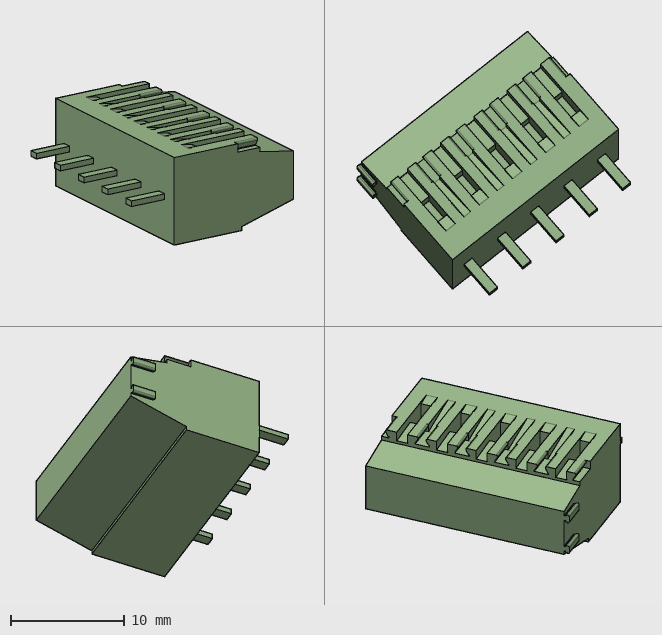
import cadquery as cq
import math

TOTAL_WIDTH = 19.55
TOTAL_DEPTH = 16.1
HEIGHT = 8.2
POLES = 5
PITCH = 3.81

RAIL_PROJECTION = 0.5
PIN_LENGTH = 3.5
ROOF_LENGTH = 3.55
ROOF_DROP_FRONT = 1.17
ROOF_DROP_REAR = 1.8
BELLY_LENGTH = 5.45
BELLY_RISE_FRONT = 0.37
BELLY_RISE_REAR = 1.9

LEFT = -TOTAL_WIDTH / 2 + RAIL_PROJECTION
RIGHT = TOTAL_WIDTH / 2
BODY_WIDTH = RIGHT - LEFT
REAR = TOTAL_DEPTH / 2
FRONT = -REAR + PIN_LENGTH
TOP = HEIGHT / 2
BOTTOM = -TOP
ROOF_FRONT = REAR - ROOF_LENGTH

FIRST_COLUMN = LEFT + 1.8
COLUMNS = [FIRST_COLUMN + i * PITCH for i in range(POLES)]
PIN_WIDTH = 0.92
PIN_THICKNESS = 0.53

SLOT_FRONT = REAR - 10.19
SLOT_WIDTH = 1.05
WELL_FRONT = REAR - 9.01
WELL_REAR = REAR - 6.57
WELL_DEPTH = 1.95
LEAD_IN_DEPTH = 0.22
SHELF_DEPTH_FRONT = 0.72
SHELF_DEPTH_REAR = 0.9

GROOVE_FRONT = REAR - 5.88
GROOVE_DEPTH = 0.78
GROOVE_MOUTH_HALF = 0.53
GROOVE_UNDERCUT_DEPTH = 0.7
RAMP_WIDTH = 0.75

RAIL_LENGTH = 2.19
RAIL_HEIGHT = 1.6
RAIL_FACE_HALF = 0.25
RAIL_NECK_OUT = 0.1

EDGE_RADIUS = 0.147
UNDERCUT_ANGLE = math.radians(30)
ARC_RUN = EDGE_RADIUS * (1 + math.sin(UNDERCUT_ANGLE))
ARC_RISE = EDGE_RADIUS * math.cos(UNDERCUT_ANGLE)


def side_extrusion(points, x_start, width):
    """Extrude a (y, z) outline along +X from x_start."""
    return cq.Workplane("YZ", origin=(x_start, 0, 0)).polyline(points).close().extrude(width)


def make_body():
    outline = [
        (FRONT, BOTTOM),
        (REAR - BELLY_LENGTH, BOTTOM),
        (REAR - BELLY_LENGTH, BOTTOM + BELLY_RISE_FRONT),
        (REAR, BOTTOM + BELLY_RISE_REAR),
        (REAR, TOP - ROOF_DROP_REAR),
        (ROOF_FRONT, TOP - ROOF_DROP_FRONT),
        (ROOF_FRONT, TOP),
        (FRONT, TOP),
    ]
    return side_extrusion(outline, LEFT, BODY_WIDTH)


def make_slot(x):
    """Wide slot: lead-in at the front, deep well, sloping shelf open to the rear."""
    outline = [
        (SLOT_FRONT, TOP),
        (WELL_FRONT, TOP - LEAD_IN_DEPTH),
        (WELL_FRONT, TOP - WELL_DEPTH),
        (WELL_REAR, TOP - WELL_DEPTH),
        (WELL_REAR, TOP - SHELF_DEPTH_FRONT),
        (ROOF_FRONT, TOP - SHELF_DEPTH_REAR),
        (ROOF_FRONT, TOP),
    ]
    return side_extrusion(outline, x - SLOT_WIDTH / 2, SLOT_WIDTH)


def make_ramp(x):
    """Narrow ramp from the top face down to the floor of a label groove."""
    outline = [
        (SLOT_FRONT, TOP),
        (GROOVE_FRONT, TOP - GROOVE_DEPTH),
        (GROOVE_FRONT, TOP),
    ]
    return side_extrusion(outline, x - RAMP_WIDTH / 2, RAMP_WIDTH)


def make_groove(x):
    """Undercut groove with rounded lips, open to the rear."""
    lip_half = GROOVE_MOUTH_HALF - ARC_RISE
    floor_half = lip_half + (GROOVE_UNDERCUT_DEPTH - ARC_RUN) * math.tan(UNDERCUT_ANGLE)
    crest_half = GROOVE_MOUTH_HALF - EDGE_RADIUS
    return (
        cq.Workplane("XZ", origin=(x, ROOF_FRONT, TOP))
        .moveTo(-GROOVE_MOUTH_HALF, 0)
        .threePointArc((-crest_half, -EDGE_RADIUS), (-lip_half, -ARC_RUN))
        .lineTo(-floor_half, -GROOVE_UNDERCUT_DEPTH)
        .lineTo(-floor_half, -GROOVE_DEPTH)
        .lineTo(floor_half, -GROOVE_DEPTH)
        .lineTo(floor_half, -GROOVE_UNDERCUT_DEPTH)
        .lineTo(lip_half, -ARC_RUN)
        .threePointArc((crest_half, -EDGE_RADIUS), (GROOVE_MOUTH_HALF, 0))
        .close()
        .extrude(ROOF_FRONT - GROOVE_FRONT)
    )


def make_rail(z):
    """Rail with a rounded bead on a narrower neck."""
    crest = (-RAIL_PROJECTION + EDGE_RADIUS, RAIL_FACE_HALF + EDGE_RADIUS)
    bead_end = (-RAIL_PROJECTION + ARC_RUN, RAIL_FACE_HALF + ARC_RISE)
    flank_length = -RAIL_NECK_OUT - bead_end[0]
    neck_half = bead_end[1] - flank_length * math.tan(UNDERCUT_ANGLE)
    return (
        cq.Workplane("XZ", origin=(LEFT, REAR, z))
        .moveTo(0, neck_half)
        .lineTo(-RAIL_NECK_OUT, neck_half)
        .lineTo(*bead_end)
        .threePointArc(crest, (-RAIL_PROJECTION, RAIL_FACE_HALF))
        .lineTo(-RAIL_PROJECTION, -RAIL_FACE_HALF)
        .threePointArc((crest[0], -crest[1]), (bead_end[0], -bead_end[1]))
        .lineTo(-RAIL_NECK_OUT, -neck_half)
        .lineTo(0, -neck_half)
        .close()
        .extrude(RAIL_LENGTH)
    )


def make_pin(x):
    return (
        cq.Workplane("XZ", origin=(x, FRONT, 0))
        .rect(PIN_WIDTH, PIN_THICKNESS)
        .extrude(PIN_LENGTH)
    )


inner_grooves = [x + PITCH / 2 for x in COLUMNS[:-1]]

result = make_body()
for x in COLUMNS:
    result = result.cut(make_slot(x)).union(make_pin(x))
for x in inner_grooves:
    result = result.cut(make_ramp(x))
for x in [LEFT, *inner_grooves, RIGHT]:
    result = result.cut(make_groove(x))
for z in (-RAIL_HEIGHT, RAIL_HEIGHT):
    result = result.union(make_rail(z))